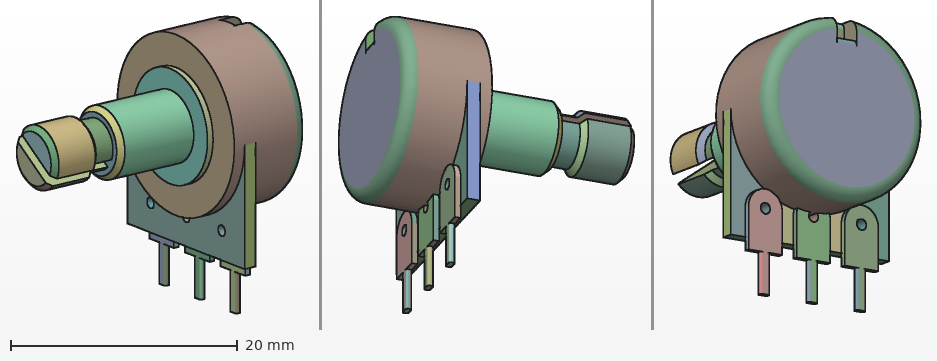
import cadquery as cq


height = 24.95
housing_diameter = 16.75
housing_radius = housing_diameter / 2

housing_depth = 8.25
housing_rear_fillet = 1.22

notch_width = 2.07
notch_length = 2.57
notch_depth = 2.0
notch_fillet = 0.57

flange_radius = 5.34
flange_front = 0.62
bushing_radius = 3.37
bushing_front = 8.88
bushing_chamfer_length = 0.55
bushing_chamfer_depth = 0.47
neck_radius = 2.37
neck_front = 10.77
head_radius = 2.97
head_front = 15.89
head_chamfer = 0.5
head_taper_length = 0.55

slot_width = 1.0
slot_tilt = 35.0

plate_front = 1.15
plate_thickness = 1.25
plate_rear = plate_front + plate_thickness
plate_bottom = -11.47

terminal_pitch = 5.1
terminal_thickness = 0.55
terminal_half_width = 1.77
terminal_shoulder = -12.72
hole_level = -8.73
hole_diameter = 1.0
pin_width = 1.0
pin_fillet = 0.2
pin_bottom = housing_radius - height


def make_housing():
    """Round can with a rounded rear rim and a notch at the top."""
    housing = (
        cq.Workplane("YZ")
        .rect(housing_depth, housing_radius, centered=False)
        .revolve(360, (0, 0, 0), (1, 0, 0))
    )
    housing = housing.faces(">Y").edges().fillet(housing_rear_fillet)

    notch_front = housing_depth - notch_length
    notch_floor = housing_radius - notch_depth
    notch = (
        cq.Workplane("YZ", origin=(-notch_width / 2, 0, 0))
        .moveTo(notch_front + notch_fillet, housing_radius)
        .lineTo(notch_front + notch_fillet, notch_floor + notch_fillet)
        .radiusArc((notch_front + 2 * notch_fillet, notch_floor), -notch_fillet)
        .lineTo(housing_depth - notch_fillet, notch_floor)
        .radiusArc((housing_depth, notch_floor - notch_fillet), notch_fillet)
        .lineTo(housing_depth, housing_radius)
        .close()
        .extrude(notch_width)
    )
    lip_ring = (
        cq.Workplane("XY")
        .moveTo(housing_radius, notch_front)
        .radiusArc((housing_radius - notch_fillet, notch_front + notch_fillet), -notch_fillet)
        .lineTo(housing_radius, notch_front + notch_fillet)
        .close()
        .revolve(360, (0, 0, 0), (0, 1, 0))
    )
    lip_limits = cq.Workplane("XY").box(
        notch_width, housing_depth, housing_radius, centered=(True, False, False)
    )
    return housing.cut(notch).cut(lip_ring.intersect(lip_limits))


def make_shaft():
    """Flange, bushing, neck and slotted head as one turned piece."""
    bushing_end_radius = bushing_radius - bushing_chamfer_depth
    outline = [
        (0, 0),
        (0, flange_radius),
        (-flange_front, flange_radius),
        (-flange_front, bushing_radius),
        (bushing_chamfer_length - bushing_front, bushing_radius),
        (-bushing_front, bushing_end_radius),
        (-bushing_front, neck_radius),
        (-neck_front, neck_radius),
        (-neck_front - head_taper_length, head_radius),
        (head_chamfer - head_front, head_radius),
        (-head_front, head_radius - head_chamfer),
        (-head_front, 0),
    ]
    shaft = cq.Workplane("YZ").polyline(outline).close().revolve(360, (0, 0, 0), (1, 0, 0))
    slot_length = head_front - bushing_front
    slot = (
        cq.Workplane("XY")
        .box(2 * bushing_radius, slot_length, slot_width)
        .rotate((0, 0, 0), (0, 1, 0), slot_tilt)
        .translate((0, -(bushing_front + slot_length / 2), 0))
    )
    return shaft.cut(slot)


def make_plate():
    """Rectangular plate as wide as the housing, hanging down from the axis level."""
    return (
        cq.Workplane("XY")
        .box(housing_diameter, plate_thickness, -plate_bottom, centered=(True, False, False))
        .translate((0, plate_front, plate_bottom))
    )


def make_terminal(x):
    """Round-topped tab with a narrow solder pin below it."""
    terminal_rear = plate_rear + terminal_thickness
    tab = (
        cq.Workplane("XZ", origin=(x, terminal_rear, 0))
        .moveTo(-terminal_half_width, terminal_shoulder)
        .lineTo(-terminal_half_width, hole_level)
        .threePointArc((0, hole_level + terminal_half_width), (terminal_half_width, hole_level))
        .lineTo(terminal_half_width, terminal_shoulder)
        .close()
        .extrude(terminal_thickness)
    )
    pin = (
        cq.Workplane("XY", origin=(x, plate_rear + terminal_thickness / 2, pin_bottom))
        .rect(pin_width, terminal_thickness)
        .extrude(terminal_shoulder - pin_bottom)
        .edges("|Z")
        .fillet(pin_fillet)
    )
    return tab.union(pin)


carrier = make_plate()
terminal_places = [-terminal_pitch, 0, terminal_pitch]
for x in terminal_places:
    carrier = carrier.union(make_terminal(x))

hole_span = plate_thickness + terminal_thickness
for x in terminal_places:
    hole = (
        cq.Workplane("XZ", origin=(x, plate_front, hole_level))
        .circle(hole_diameter / 2)
        .extrude(-hole_span)
    )
    carrier = carrier.cut(hole)

result = make_housing().union(carrier).union(make_shaft())